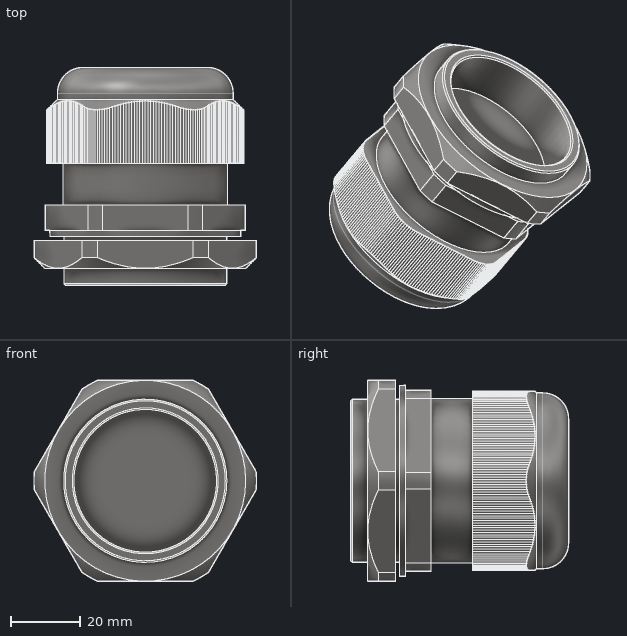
import cadquery as cq
import math


lock_nut_start = 4.8
lock_nut_end = 12.95
washer_start = 14.0
body_hex_start = 15.8
body_hex_end = 23.15
cap_start = 35.05
cap_shoulder = 53.45
total_length = 62.75

thread_diameter = 47.0
bore_diameter = 41.1
bore_depth = 14.1
rim_chamfer = 0.45

lock_nut_flats = 57.9
lock_nut_corners = 64.1
lock_nut_face_diameter = 57.8
body_hex_flats = 52.15
body_hex_corners = 57.7
washer_diameter = 55.0
body_diameter = 47.5

dome_diameter = 50.7
dome_radius = 7.5
grip_flats = 51.65
grip_corner_radius = 9.2
grip_blank_diameter = 60.25
rib_height = 0.2
ribs_per_flat = 24
ribs_per_corner = 13

hex_sides = 6
sector_angle = 2 * math.pi / hex_sides


def section_at(y):
    """Sketch plane across the axis, with its normal along +Y."""
    return cq.Workplane(cq.Plane(origin=(0, y, 0), xDir=(1, 0, 0), normal=(0, 1, 0)))


def disc(diameter, start, end):
    return section_at(start).circle(diameter / 2).extrude(end - start)


def trimmed_hexagon(flats, corners, start, end):
    """Hexagonal prism with flats facing +Z and -Z and its corners rounded to a cylinder."""
    hexagon = section_at(start).polygon(hex_sides, flats, circumscribed=True).extrude(end - start)
    hexagon = hexagon.rotate((0, 0, 0), (0, 1, 0), math.degrees(sector_angle / 2))
    return hexagon.intersect(disc(corners, start, end))


def beveled_blank(face_diameter, face_y, outer_diameter, end_y):
    """Round blank with a 45 degree bevel from the face diameter out to the outer diameter."""
    face_radius = face_diameter / 2
    outer_radius = outer_diameter / 2
    bevel = math.copysign(outer_radius - face_radius, end_y - face_y)
    profile = [
        (0, face_y),
        (face_radius, face_y),
        (outer_radius, face_y + bevel),
        (outer_radius, end_y),
        (0, end_y),
    ]
    return cq.Workplane("XY").polyline(profile).close().revolve(360, (0, 0, 0), (0, 1, 0))


def lock_nut():
    """Hexagonal nut with its corners beveled on the open-end side."""
    nut = trimmed_hexagon(lock_nut_flats, lock_nut_corners, lock_nut_start, lock_nut_end)
    bevel = beveled_blank(lock_nut_face_diameter, lock_nut_start, lock_nut_corners, lock_nut_end)
    return nut.intersect(bevel)


def offset_point(origin, direction, outward, sideways=0):
    """Point reached from the origin by moving outward along a direction and sideways to its left."""
    return (
        origin[0] + outward * math.cos(direction) - sideways * math.sin(direction),
        origin[1] + outward * math.sin(direction) + sideways * math.cos(direction),
    )


def groove_points():
    """Rib valleys around the grip, spaced along each flat and then around each rounded corner."""
    apothem = grip_flats / 2 - rib_height
    round_center = (apothem - grip_corner_radius) / math.cos(sector_angle / 2)
    half_flat = round_center * math.sin(sector_angle / 2)

    points = []
    for side in range(hex_sides):
        flat_direction = math.pi / 2 + side * sector_angle
        for rib in range(ribs_per_flat):
            along = half_flat * (2 * rib / ribs_per_flat - 1)
            points.append(offset_point((0, 0), flat_direction, apothem, along))
        corner_direction = flat_direction + sector_angle / 2
        corner_center = offset_point((0, 0), corner_direction, round_center)
        for rib in range(ribs_per_corner):
            turn = sector_angle * rib / ribs_per_corner
            points.append(offset_point(corner_center, flat_direction + turn, grip_corner_radius))
    return points


def rib_crest(start, end):
    """Top of a rounded rib, raised outward from the middle of its two valleys."""
    dx = end[0] - start[0]
    dy = end[1] - start[1]
    rise = rib_height / math.hypot(dx, dy)
    return ((start[0] + end[0]) / 2 + dy * rise, (start[1] + end[1]) / 2 - dx * rise)


def ribbed_grip():
    """Rounded hexagon of fine ribs, beveled toward the dome."""
    valleys = groove_points()
    outline = section_at(cap_start).moveTo(*valleys[0])
    for start, end in zip(valleys, valleys[1:] + valleys[:1]):
        outline = outline.threePointArc(rib_crest(start, end), end)
    grip = outline.close().extrude(cap_shoulder - cap_start)
    return grip.intersect(beveled_blank(dome_diameter, cap_shoulder, grip_blank_diameter, cap_start))


def dome():
    return disc(dome_diameter, cap_start, total_length).faces(">Y").edges().fillet(dome_radius)


def threaded_end():
    return disc(thread_diameter, 0, body_hex_start).faces("<Y").edges().chamfer(rim_chamfer)


def bore():
    """Blind bore with a beveled mouth."""
    mouth = section_at(0).circle(bore_diameter / 2 + rim_chamfer).extrude(rim_chamfer, taper=45)
    return disc(bore_diameter, 0, bore_depth).union(mouth)


result = (
    threaded_end()
    .union(lock_nut())
    .union(disc(washer_diameter, washer_start, body_hex_start))
    .union(trimmed_hexagon(body_hex_flats, body_hex_corners, body_hex_start, body_hex_end))
    .union(disc(body_diameter, body_hex_start, cap_start))
    .union(dome())
    .union(ribbed_grip())
    .cut(bore())
)